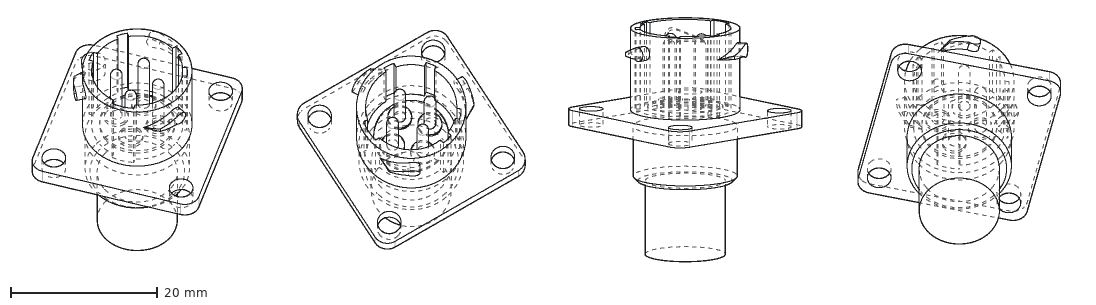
import cadquery as cq
import math


FLANGE_SIDE = 23.8
FLANGE_THICKNESS = 2.25
FLANGE_CORNER_RADIUS = 2.0
MOUNTING_HOLE_SPACING = 18.25
MOUNTING_HOLE_DIAMETER = 3.25

SHELL_RADIUS = 7.5
SHELL_HEIGHT = 11.4
BORE_RADIUS = 6.25

KEYWAY_OUTER_RADIUS = 6.85
MAIN_KEYWAY_WIDTH = 3.1
MINOR_KEYWAY_WIDTH = 1.5
KEYWAYS = [
    (270, MAIN_KEYWAY_WIDTH),
    (175, MINOR_KEYWAY_WIDTH),
    (125, MINOR_KEYWAY_WIDTH),
    (50, MINOR_KEYWAY_WIDTH),
    (15, MINOR_KEYWAY_WIDTH),
]

INSERT_RADIUS = 5.15
INSERT_HEIGHT = 0.5
COLLAR_RADIUS = 1.65
COLLAR_HEIGHT = 0.5
CONTACT_RADIUS = 0.8
CONTACT_CIRCLE_RADIUS = 3.0
CONTACT_COUNT = 4
CONTACT_TIP_DEPTH = 1.2

LUG_COUNT = 3
LUG_OUTER_RADIUS = 8.75
LUG_DEPTH = 2.575
STUD_RADIUS = 0.975
RAMP_FLOOR_DROP = 0.75
RAMP_END_ANGLE = 60
RAMP_END_DISTANCE = 6.86

BODY_RADIUS = 7.15
BODY_LENGTH = 7.65
BODY_CHAMFER = 0.65
TAIL_RADIUS = 5.5
TAIL_LENGTH = 10.25


def cylinder(radius, base_z, height):
    return cq.Workplane("XY").workplane(offset=base_z).circle(radius).extrude(height)


def make_flange():
    plate = (
        cq.Workplane("XY")
        .rect(FLANGE_SIDE, FLANGE_SIDE)
        .extrude(-FLANGE_THICKNESS)
        .edges("|Z")
        .fillet(FLANGE_CORNER_RADIUS)
    )
    return (
        plate.faces(">Z")
        .workplane()
        .rect(MOUNTING_HOLE_SPACING, MOUNTING_HOLE_SPACING, forConstruction=True)
        .vertices()
        .hole(MOUNTING_HOLE_DIAMETER)
    )


def make_rear():
    body = cylinder(BODY_RADIUS, -FLANGE_THICKNESS, -BODY_LENGTH)
    body = body.faces("<Z").chamfer(BODY_CHAMFER)
    tail = cylinder(TAIL_RADIUS, -FLANGE_THICKNESS - BODY_LENGTH, -TAIL_LENGTH)
    return body.union(tail)


def make_cavity():
    """Bore with its keyways, open at the shell rim and ending level with the flange face."""
    keyways = cq.Workplane("XY")
    for angle, width in KEYWAYS:
        slot = (
            cq.Workplane("XY")
            .rect(SHELL_RADIUS, width)
            .extrude(SHELL_HEIGHT)
            .translate((SHELL_RADIUS / 2, 0, 0))
            .rotate((0, 0, 0), (0, 0, 1), angle)
        )
        keyways = keyways.add(slot)
    keyways = keyways.combine().intersect(cylinder(KEYWAY_OUTER_RADIUS, 0, SHELL_HEIGHT))
    return cylinder(BORE_RADIUS, 0, SHELL_HEIGHT).union(keyways)


def make_insert():
    """Insert disc carrying round-tipped contacts, each standing in a low collar."""
    insert = cylinder(INSERT_RADIUS, 0, INSERT_HEIGHT)
    contact_length = SHELL_HEIGHT - CONTACT_TIP_DEPTH
    dome_centre_z = contact_length - CONTACT_RADIUS
    collar = cylinder(COLLAR_RADIUS, 0, INSERT_HEIGHT + COLLAR_HEIGHT)
    pin = cylinder(CONTACT_RADIUS, 0, dome_centre_z)
    dome = cq.Workplane("XY").sphere(CONTACT_RADIUS).translate((0, 0, dome_centre_z))
    contact = collar.union(pin).union(dome).translate((CONTACT_CIRCLE_RADIUS, 0, 0))
    for index in range(CONTACT_COUNT):
        angle = index * 360 / CONTACT_COUNT
        insert = insert.union(contact.rotate((0, 0, 0), (0, 0, 1), angle))
    return insert


def make_lug():
    """Lug pointing along +Y with its ramp falling towards +X."""
    tip_angle = math.radians(RAMP_END_ANGLE) - math.acos(RAMP_END_DISTANCE / SHELL_RADIUS)
    tip_x = SHELL_RADIUS * math.sin(tip_angle)
    tip_distance = math.hypot(tip_x, RAMP_FLOOR_DROP)
    tangent_angle = math.acos(STUD_RADIUS / tip_distance) - math.atan2(RAMP_FLOOR_DROP, tip_x)
    tangent_point = (STUD_RADIUS * math.cos(tangent_angle), STUD_RADIUS * math.sin(tangent_angle))

    root_radius = (SHELL_RADIUS + KEYWAY_OUTER_RADIUS) / 2
    envelope_height = 4 * STUD_RADIUS
    stud = cq.Workplane("XZ").circle(STUD_RADIUS).extrude(-LUG_OUTER_RADIUS)
    ramp = (
        cq.Workplane("XZ")
        .polyline([(0, 0), tangent_point, (tip_x, -RAMP_FLOOR_DROP), (0, -RAMP_FLOOR_DROP)])
        .close()
        .extrude(-LUG_OUTER_RADIUS)
    )
    end_trim = (
        cq.Workplane("XY")
        .box(2 * LUG_OUTER_RADIUS, RAMP_END_DISTANCE + LUG_OUTER_RADIUS, envelope_height)
        .translate((0, (RAMP_END_DISTANCE - LUG_OUTER_RADIUS) / 2, 0))
        .rotate((0, 0, 0), (0, 0, 1), -RAMP_END_ANGLE)
    )
    envelope = cylinder(LUG_OUTER_RADIUS, -envelope_height / 2, envelope_height)
    envelope = envelope.cut(cylinder(root_radius, -envelope_height / 2, envelope_height))
    lug = stud.union(ramp.intersect(end_trim)).intersect(envelope)
    return lug.translate((0, 0, SHELL_HEIGHT - LUG_DEPTH))


result = make_flange().union(make_rear())
result = result.union(cylinder(SHELL_RADIUS, 0, SHELL_HEIGHT).cut(make_cavity()))
result = result.union(make_insert())
lug = make_lug()
for index in range(LUG_COUNT):
    result = result.union(lug.rotate((0, 0, 0), (0, 0, 1), index * 360 / LUG_COUNT))